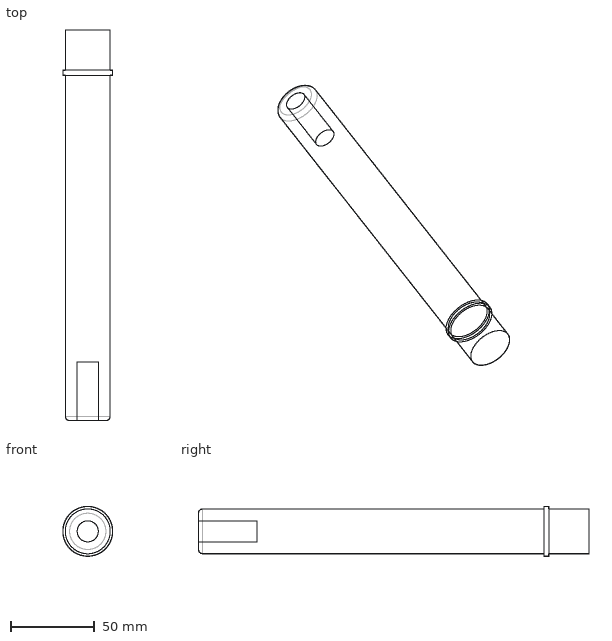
import cadquery as cq

length = 233.6
shaft_diameter = 26.9

collar_diameter = 30.0
collar_width = 3.0
collar_setback = 24.0

rounding_radius = 2.5
hole_diameter = 12.5
hole_depth = 35.0


def cylinder_along_y(diameter, start, span):
    """Solid cylinder on the Y axis, from Y = start to Y = start + span."""
    axis_direction = cq.Vector(0, 1, 0)
    solid = cq.Solid.makeCylinder(diameter / 2, span, cq.Vector(0, start, 0), axis_direction)
    return cq.Workplane(obj=solid)


front_end = -length / 2
back_end = length / 2

shaft = cylinder_along_y(shaft_diameter, front_end, length)
shaft = shaft.faces("<Y").edges().fillet(rounding_radius)

collar_start = back_end - collar_setback - collar_width
collar = cylinder_along_y(collar_diameter, collar_start, collar_width)

hole = cylinder_along_y(hole_diameter, front_end, hole_depth)

result = shaft.union(collar).cut(hole)